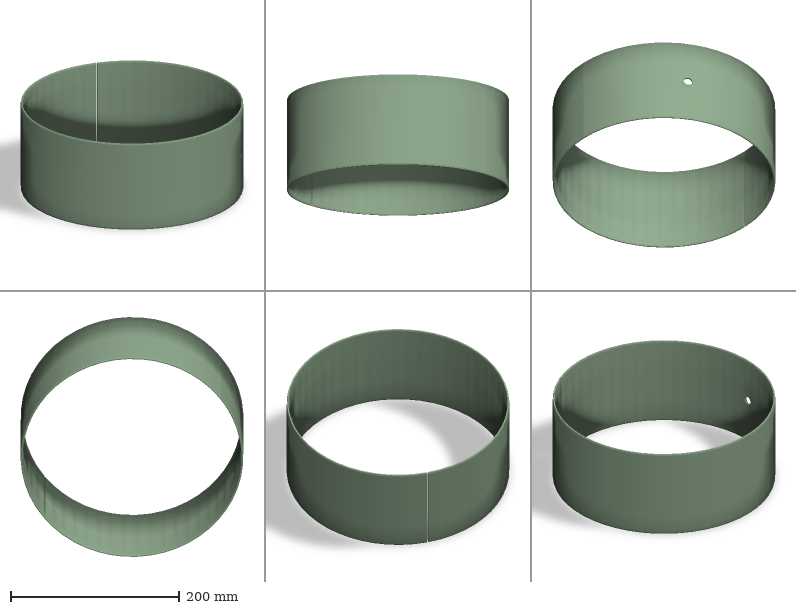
import cadquery as cq

outer_diameter = 265.0
wall = 2.5
height = 110.0
rim_bevel_height = 1.5
rim_bevel_width = 0.5
split_width = 1.5
split_start = 0.3
hole_diameter = 10.0
hole_angle = 59.0

outer_radius = outer_diameter / 2
inner_radius = outer_radius - wall


def make_band():
    """Thin cylindrical band with small bevels on both edges of each rim."""
    upper_bevel_z = height - rim_bevel_height
    wall_section = [
        (inner_radius, rim_bevel_height),
        (inner_radius + rim_bevel_width, 0),
        (outer_radius - rim_bevel_width, 0),
        (outer_radius, rim_bevel_height),
        (outer_radius, upper_bevel_z),
        (outer_radius - rim_bevel_width, height),
        (inner_radius + rim_bevel_width, height),
        (inner_radius, upper_bevel_z),
    ]
    return cq.Workplane("XZ").polyline(wall_section).close().revolve(360, (0, 0, 0), (0, 1, 0))


def make_split():
    """Full-height cutter that opens the band on its -X side."""
    cutter = cq.Workplane("XY").box(outer_radius, split_width, height, centered=False)
    return cutter.translate((-outer_radius, split_start, 0))


def make_hole():
    """Radial cutter at mid-height that passes through one side of the wall."""
    return (
        cq.Workplane("YZ")
        .center(0, height / 2)
        .circle(hole_diameter / 2)
        .extrude(outer_diameter)
        .rotate((0, 0, 0), (0, 0, 1), hole_angle)
    )


result = make_band().cut(make_split()).cut(make_hole())